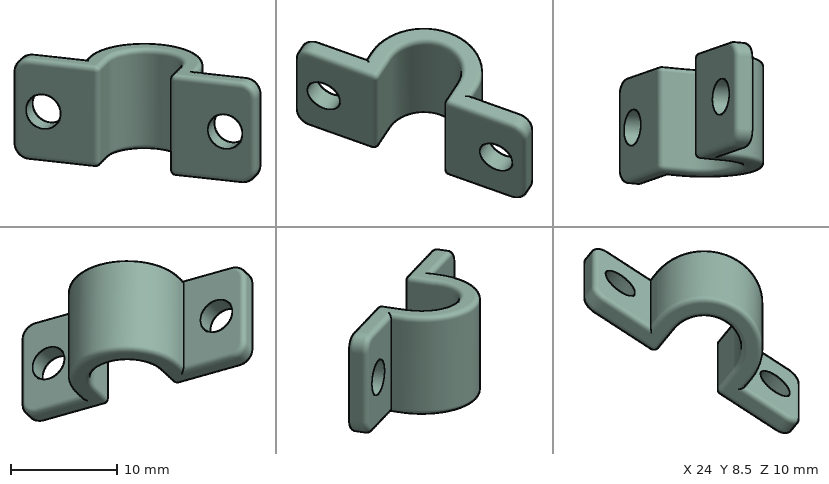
import cadquery as cq

length = 24.0
width = 10.0
wall = 2.0
bore_radius = 3.5
arc_height = 3.0
corner_radius = 1.5
edge_radius = 0.5
hole_diameter = 3.4
hole_spacing = 18.0

half_length = length / 2
half_width = width / 2
strap_radius = bore_radius + wall


def make_strap():
    """Saddle profile in XY, mounting face at Y = 0, centred along Z."""
    return (
        cq.Workplane("XY")
        .moveTo(-half_length, 0)
        .lineTo(-bore_radius, 0)
        .lineTo(-bore_radius, arc_height)
        .threePointArc((0, arc_height + bore_radius), (bore_radius, arc_height))
        .lineTo(bore_radius, 0)
        .lineTo(half_length, 0)
        .lineTo(half_length, wall)
        .lineTo(strap_radius, wall)
        .lineTo(strap_radius, arc_height)
        .threePointArc((0, arc_height + strap_radius), (-strap_radius, arc_height))
        .lineTo(-strap_radius, wall)
        .lineTo(-half_length, wall)
        .close()
        .extrude(half_width, both=True)
    )


def round_edges(body):
    """Round the flange corners, then every edge but the two inside corners behind the flanges."""
    body = body.faces("<X or >X").edges("|Y").fillet(corner_radius)
    end_rims = body.faces("|Z").edges()
    flange_rims = body.faces("|Y").edges("not |Z")
    flange_ends = body.faces("<X or >X").edges("|Z")
    mouth_edges = body.faces("<Y").edges("|Z")
    rounded = end_rims.add(flange_rims).add(flange_ends).add(mouth_edges)
    return rounded.fillet(edge_radius)


def drill_holes(body):
    """Drill one screw hole through each flange."""
    drills = (
        cq.Workplane("XZ")
        .pushPoints([(-hole_spacing / 2, 0), (hole_spacing / 2, 0)])
        .circle(hole_diameter / 2)
        .extrude(-wall)
    )
    return body.cut(drills)


result = drill_holes(round_edges(make_strap()))